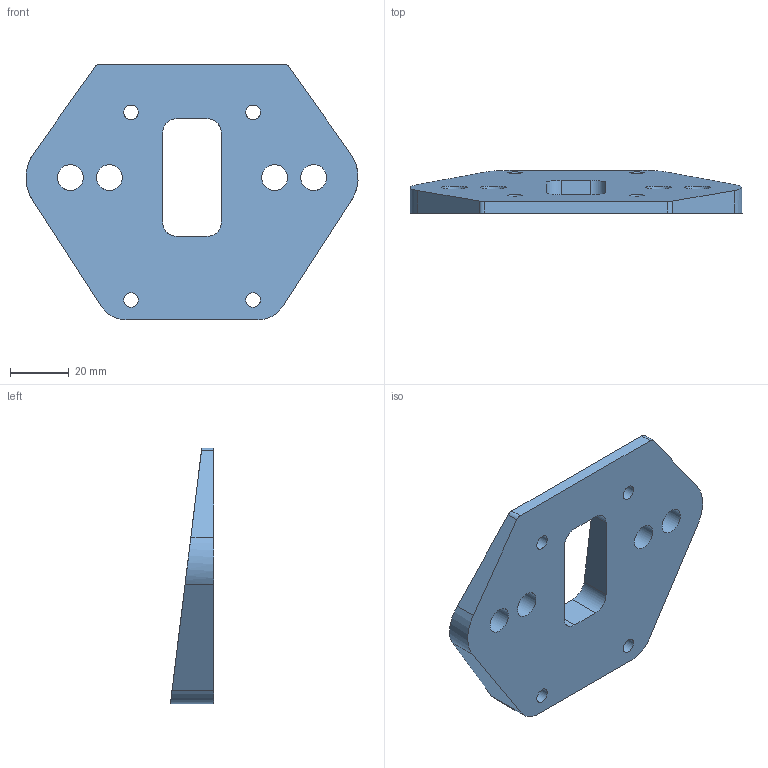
import cadquery as cq
import math

plate_height = 86.7
top_thickness = 4.0
wedge_angle = 7.0

bottom_z = -48.25
top_z = bottom_z + plate_height
top_half_width = 32.2
side_half_width = 59.26
side_corner_z = 0.4
bottom_half_width = 27.8
top_corner_radius = 2.0
side_corner_radius = 14.2
bottom_corner_radius = 10.0

window_width = 20.0
window_height = 40.0
window_corner_radius = 5.0

large_hole_diameter = 8.8
large_hole_offsets = (28.0, 41.25)

small_hole_diameter = 5.0
small_hole_offset = 20.7
small_hole_levels = (22.1, -41.5)

bottom_thickness = top_thickness + plate_height * math.tan(math.radians(wedge_angle))


def front_plane():
    """Sketch plane on the flat front face: local x is X, local y is Z, extrusion goes toward -Y."""
    return cq.Workplane("XZ")


def make_outline_prism():
    """Hexagonal prism with rounded corners, as deep as the thick bottom end."""
    corners = [
        (-top_half_width, top_z),
        (top_half_width, top_z),
        (side_half_width, side_corner_z),
        (bottom_half_width, bottom_z),
        (-bottom_half_width, bottom_z),
        (-side_half_width, side_corner_z),
    ]
    prism = front_plane().polyline(corners).close().extrude(-bottom_thickness)
    prism = prism.edges("|Y").edges(">Z").fillet(top_corner_radius)
    prism = prism.edges("|Y").edges("<Z").fillet(bottom_corner_radius)
    return prism.edges("|Y").edges("<X or >X").fillet(side_corner_radius)


def make_wedge():
    """Wedge that tapers from the thick bottom to the thin top, wider than the outline."""
    return (
        cq.Workplane("YZ")
        .moveTo(0, bottom_z)
        .lineTo(bottom_thickness, bottom_z)
        .lineTo(top_thickness, top_z)
        .lineTo(0, top_z)
        .close()
        .extrude(side_half_width, both=True)
    )


def make_window():
    """Through window with rounded corners, centred on the large-hole level."""
    return (
        front_plane()
        .rect(window_width, window_height)
        .extrude(-bottom_thickness)
        .edges("|Y")
        .fillet(window_corner_radius)
    )


def make_holes(points, diameter):
    """Through-hole cutters perpendicular to the front face."""
    return front_plane().pushPoints(points).circle(diameter / 2).extrude(-bottom_thickness)


large_hole_points = [(side * x, 0) for side in (-1, 1) for x in large_hole_offsets]
small_hole_points = [(side * small_hole_offset, z) for side in (-1, 1) for z in small_hole_levels]

result = (
    make_outline_prism()
    .intersect(make_wedge())
    .cut(make_window())
    .cut(make_holes(large_hole_points, large_hole_diameter))
    .cut(make_holes(small_hole_points, small_hole_diameter))
)